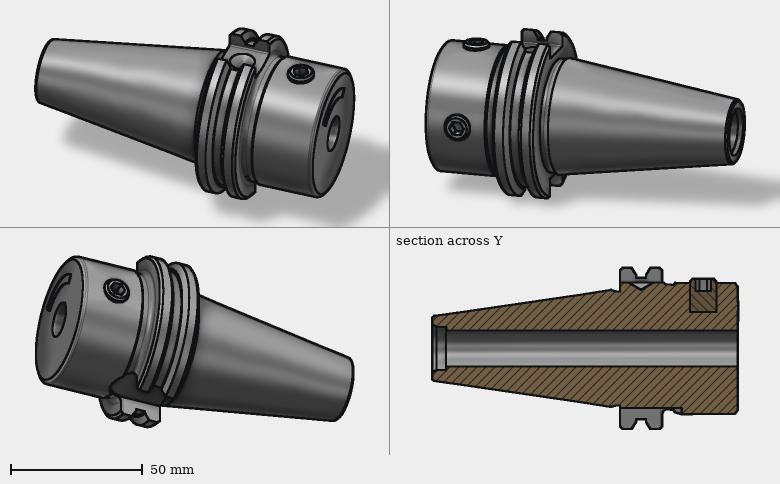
import cadquery as cq
import math

total_length = 116.2

small_end_diameter = 24.9
small_end_chamfer = 0.7
gauge_diameter = 44.6
taper_length = 67.9
relief_start = 69.8
relief_diameter = 43.6

flange_start = 71.3
flange_end = 87.4
flange_diameter = 63.4
flange_chamfer = 1.0
groove_center = 79.3
groove_floor_width = 3.6
groove_mouth_width = 7.1
groove_floor_diameter = 56.1
groove_wall_diameter = 57.9

neck_diameter = 48.6
neck_fillet = 2.0
nose_start = 92.2
nose_diameter = 50.0
nose_step_chamfer = 0.6
nose_end = 116.0
nose_edge_radius = 0.8
nose_cone_start = 115.2
nose_cone_angle = 55.0

bore_diameter = 13.5
counterbore_diameter = 16.3
counterbore_depth = 5.3
counterbore_mouth_diameter = 18.0
counterbore_mouth_depth = 1.7

pad_inner_radius = 14.2
pad_outer_radius = 17.8
pad_half_angle = 41.8

slot_width = 16.2
slot_end_center = 86.6
top_slot_floor = 25.1
bottom_slot_floor = 22.7
top_slot_fillet = 0.6

dimple_diameter = 9.5
dimple_angle = 120.0

screw_position = 102.9
screw_diameter = 10.0
screw_tip_diameter = 8.3
screw_top = 26.5
screw_chamfer_height = 1.0
screw_length = 12.5
socket_across_flats = 5.0
socket_depth = 4.6
screw_angles = (0, -90)

screw_bottom = screw_top - screw_length


def holder_blank():
    """Solid of revolution about X: taper, flange, neck and nose."""
    small_radius = small_end_diameter / 2
    gauge_radius = gauge_diameter / 2
    relief_radius = relief_diameter / 2
    flange_radius = flange_diameter / 2
    flange_face_radius = flange_radius - flange_chamfer
    groove_floor_radius = groove_floor_diameter / 2
    groove_wall_radius = groove_wall_diameter / 2
    neck_radius = neck_diameter / 2
    nose_radius = nose_diameter / 2
    edge_angle = math.radians(nose_cone_angle)
    edge_length = nose_edge_radius * math.sin(edge_angle)
    edge_drop = nose_edge_radius * (1 - math.cos(edge_angle))
    cone_drop = (nose_end - nose_cone_start) * math.tan(edge_angle)
    half_floor = groove_floor_width / 2
    half_mouth = groove_mouth_width / 2

    return (
        cq.Workplane("XY")
        .moveTo(0, 0)
        .lineTo(0, small_radius - small_end_chamfer)
        .lineTo(small_end_chamfer, small_radius)
        .lineTo(taper_length, gauge_radius)
        .lineTo(relief_start, relief_radius)
        .lineTo(flange_start, relief_radius)
        .lineTo(flange_start, flange_face_radius)
        .lineTo(flange_start + flange_chamfer, flange_radius)
        .lineTo(groove_center - half_mouth, flange_radius)
        .lineTo(groove_center - half_floor, groove_wall_radius)
        .lineTo(groove_center - half_floor, groove_floor_radius)
        .lineTo(groove_center + half_floor, groove_floor_radius)
        .lineTo(groove_center + half_floor, groove_wall_radius)
        .lineTo(groove_center + half_mouth, flange_radius)
        .lineTo(flange_end - flange_chamfer, flange_radius)
        .lineTo(flange_end, flange_face_radius)
        .lineTo(flange_end, neck_radius + neck_fillet)
        .radiusArc((flange_end + neck_fillet, neck_radius), -neck_fillet)
        .lineTo(nose_start - nose_step_chamfer, neck_radius)
        .lineTo(nose_start, nose_radius)
        .lineTo(nose_cone_start - edge_length, nose_radius)
        .radiusArc((nose_cone_start, nose_radius - edge_drop), nose_edge_radius)
        .lineTo(nose_end, nose_radius - edge_drop - cone_drop)
        .lineTo(nose_end, 0)
        .close()
        .revolve(360, (0, 0, 0), (1, 0, 0))
    )


def end_pad():
    """Shallow annular sector standing on the end face of the nose."""
    half_angle = math.radians(pad_half_angle)

    def corner(radius, side):
        return (side * radius * math.sin(half_angle), radius * math.cos(half_angle))

    return (
        cq.Workplane("YZ", origin=(nose_end, 0, 0))
        .moveTo(*corner(pad_inner_radius, -1))
        .threePointArc((0, pad_inner_radius), corner(pad_inner_radius, 1))
        .lineTo(*corner(pad_outer_radius, 1))
        .threePointArc((0, pad_outer_radius), corner(pad_outer_radius, -1))
        .close()
        .extrude(total_length - nose_end)
    )


def bore_cutter():
    """Through bore with a counterbore whose mouth is conical."""
    return (
        cq.Workplane("XY")
        .moveTo(0, 0)
        .lineTo(0, counterbore_mouth_diameter / 2)
        .lineTo(counterbore_mouth_depth, counterbore_diameter / 2)
        .lineTo(counterbore_depth, counterbore_diameter / 2)
        .lineTo(counterbore_depth, bore_diameter / 2)
        .lineTo(total_length, bore_diameter / 2)
        .lineTo(total_length, 0)
        .close()
        .revolve(360, (0, 0, 0), (1, 0, 0))
    )


def slot_cutter(floor):
    """Slot on the +Z side with a half-round end, cut from its floor out past the flange rim."""
    half_width = slot_width / 2
    return (
        cq.Workplane("XY", origin=(0, 0, floor))
        .moveTo(flange_start, -half_width)
        .lineTo(slot_end_center, -half_width)
        .threePointArc((slot_end_center + half_width, 0), (slot_end_center, half_width))
        .lineTo(flange_start, half_width)
        .close()
        .extrude(flange_diameter / 2)
    )


def top_slot_cutter():
    """Slot with rounded floor corners."""
    return slot_cutter(top_slot_floor).faces("<Z").edges("|X").fillet(top_slot_fillet)


def bottom_slot_cutter():
    """Deeper, sharp-cornered slot on the -Z side, running into the nose."""
    return slot_cutter(bottom_slot_floor).rotate((0, 0, 0), (1, 0, 0), 180)


def dimple_cutter():
    """Cone pointing down from the floor of the top slot."""
    radius = dimple_diameter / 2
    depth = radius / math.tan(math.radians(dimple_angle / 2))
    cone = cq.Solid.makeCone(0, radius, depth)
    return cq.Workplane(cone).translate((groove_center, 0, top_slot_floor - depth))


def screw_blank():
    """Screw without its socket, standing on the +Z side of the nose."""
    shank = (
        cq.Workplane("XY", origin=(screw_position, 0, screw_bottom))
        .circle(screw_diameter / 2)
        .extrude(screw_length)
    )
    head_chamfer = (screw_diameter - screw_tip_diameter) / 2
    return shank.faces(">Z").chamfer(screw_chamfer_height, head_chamfer)


def screw_body():
    """Clamping screw with a hexagon socket whose corners point along Y."""
    socket = (
        cq.Workplane("XY", origin=(screw_position, 0, screw_top - socket_depth))
        .transformed(rotate=(0, 0, 90))
        .polygon(6, socket_across_flats, circumscribed=True)
        .extrude(socket_depth)
    )
    return screw_blank().cut(socket)


def screw_hole_cutter():
    """Hole that the screw shank fills, open to the outside of the nose."""
    return (
        cq.Workplane("XY", origin=(screw_position, 0, screw_bottom))
        .circle(screw_diameter / 2)
        .extrude(screw_length)
    )


def around_axis(shape, angle):
    return shape.rotate((0, 0, 0), (1, 0, 0), angle)


holder = (
    holder_blank()
    .union(end_pad())
    .cut(bore_cutter())
    .cut(top_slot_cutter())
    .cut(bottom_slot_cutter())
    .cut(dimple_cutter())
)
for angle in screw_angles:
    holder = holder.cut(around_axis(screw_hole_cutter(), angle))

screws = [around_axis(screw_body(), angle) for angle in screw_angles]

result = cq.Compound.makeCompound([holder.val(), *[screw.val() for screw in screws]])